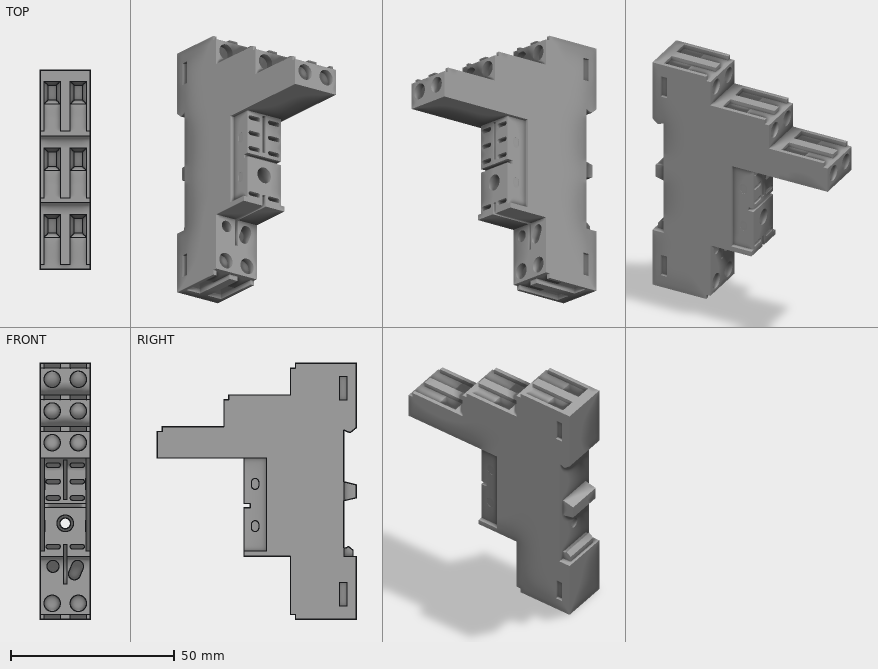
import cadquery as cq
import math


WIDTH = 15.5
HEIGHT = 78.5
DEPTH = 61.0
TIER_COUNT = 3
TIER_RUN = 20.4
TIERS_BOTTOM = 49.4
TIER_DROP = (HEIGHT - TIERS_BOTTOM) / TIER_COUNT
BASE_DEPTH = DEPTH - (TIER_COUNT - 1) * TIER_RUN
FOOT_HEIGHT = 19.3
RELAY_DEPTH = 34.5

RAIL_GAP_DEPTH = 3.85
HOOK_START_Z = 58.7
HOOK_TIP_Z = 57.3
HOOK_TIP_NEAR = 1.7
HOOK_TIP_FAR = 2.3
HOOK_ROOT_Z = 58.0
RAIL_PART_INSET = 1.9
RAIL_PART_WIDTH = WIDTH - 2 * RAIL_PART_INSET
LUG_Z = 39.25
LUG_ROOT = 5.9
LUG_TIP = 4.0
CLIP_BACK = 0.95
CLIP_SHOULDER_Z = 21.2
CLIP_TIP_DEPTH = 2.4
CLIP_TIP_Z = 22.4
CLIP_ROOT_DEPTH = 3.2
CLIP_ROOT_Z = 21.9

LIP = 1.5
TERMINAL_X = 4.0
TERMINAL_WIDTH = 5.0
CHANNEL_START = 3.4
FUNNEL_LENGTH = 7.0
FUNNEL_INSET = 1.25
FUNNEL_DEPTH = 2.1
WIRE_HOLE_DIAMETER = 5.0
WIRE_HOLE_DROP = 4.95
WIRE_HOLE_DEPTH = 2.5

SIDE_RECESS = 1.4
SIDE_RECESS_BACK = 27.5
SIDE_RECESS_BOTTOM = 20.95
GROOVE_Z = 34.85
GROOVE_WIDTH = 1.2
GROOVE_DEPTH = 2.0
CONTACT_X = 3.7
CONTACT_LENGTH = 4.4
CONTACT_WIDTH = 1.4
CONTACT_DEPTH = 3.9
CONTACT_PITCH = 5.0
CONTACT_ROWS = 3
CONTACT_TOP_Z = 47.25
CONTACT_LOW_Z = 22.3
SCREW_Z = 29.4
SCREW_DIAMETER = 3.2
SCREW_HEAD_DIAMETER = 5.1
SCREW_HEAD_DEPTH = 15.7
PARTITION_WIDTH = 1.2
PARTITION_LENGTH = 12.1
PARTITION_TOPS = (48.9, 22.9)
PARTITION_FLOOR = 18.85

WINDOW_DEPTH = 0.1
WINDOW_WIDTH = 2.3
WINDOW_LENGTH = 3.4
WINDOW_CENTRE_DEPTH = 31.0
WINDOW_HEIGHTS = (41.5, 28.6)
POCKET_DEPTH = 1.0
POCKET_WIDTH = 2.3
POCKET_LENGTH = 7.15
POCKET_CENTRE_DEPTH = 4.0
POCKET_END = 7.7

COIL_X = 3.8
COIL_Z = 16.25
COIL_DIAMETER = 3.7
COIL_SLOT_END_X = 2.8
COIL_SLOT_END_Z = 14.0
COIL_HOLE_DEPTH = 3.9


def box(x, depth_range, z_range, width):
    """Box centred on x, spanning a range of depths in front of the back face and of heights."""
    near, far = depth_range
    low, high = z_range
    return cq.Workplane("XY").box(width, far - near, high - low).translate(
        (x, -(near + far) / 2, (low + high) / 2)
    )


def side_profile(points, width):
    """Extrude an outline of (depth, z) points across X, centred."""
    outline = [(-depth, z) for depth, z in points]
    return cq.Workplane("YZ").polyline(outline).close().extrude(width / 2, both=True)


def front_plane(depth):
    """Sketch plane with X to the right, Z up and its normal facing -Y."""
    return cq.Workplane("XZ", origin=(0, -depth, 0))


def body():
    points = [(0, HEIGHT)]
    for tier in range(TIER_COUNT):
        front = BASE_DEPTH + tier * TIER_RUN
        top = HEIGHT - tier * TIER_DROP
        points += [(front - LIP, top), (front - LIP, top - LIP), (front, top - LIP)]
        points.append((front, top - TIER_DROP))
    points += [
        (RELAY_DEPTH, TIERS_BOTTOM),
        (RELAY_DEPTH, FOOT_HEIGHT),
        (BASE_DEPTH, FOOT_HEIGHT),
        (BASE_DEPTH, LIP),
        (BASE_DEPTH - LIP, LIP),
        (BASE_DEPTH - LIP, 0),
        (0, 0),
        (0, FOOT_HEIGHT),
        (RAIL_GAP_DEPTH, FOOT_HEIGHT),
        (RAIL_GAP_DEPTH, HOOK_ROOT_Z),
        (HOOK_TIP_FAR, HOOK_TIP_Z),
        (HOOK_TIP_NEAR, HOOK_TIP_Z),
        (0, HOOK_START_Z),
    ]
    return side_profile(points, WIDTH)


def rail_lug():
    return side_profile(
        [
            (RAIL_GAP_DEPTH, LUG_Z + LUG_ROOT / 2),
            (0, LUG_Z + LUG_TIP / 2),
            (0, LUG_Z - LUG_TIP / 2),
            (RAIL_GAP_DEPTH, LUG_Z - LUG_ROOT / 2),
        ],
        RAIL_PART_WIDTH,
    )


def rail_clip():
    return side_profile(
        [
            (RAIL_GAP_DEPTH, FOOT_HEIGHT),
            (CLIP_BACK, FOOT_HEIGHT),
            (CLIP_BACK, CLIP_SHOULDER_Z),
            (CLIP_TIP_DEPTH, CLIP_TIP_Z),
            (CLIP_ROOT_DEPTH, CLIP_ROOT_Z),
            (RAIL_GAP_DEPTH, CLIP_ROOT_Z),
        ],
        RAIL_PART_WIDTH,
    )


def terminal_cut(x, front, top):
    """Channel, screw funnel and wire hole of one terminal of a tier."""
    back = front - BASE_DEPTH + CHANNEL_START
    floor = top - LIP
    channel = box(x, (back, front), (floor, top), TERMINAL_WIDTH)
    funnel = (
        cq.Workplane("XY", origin=(x, -(back + FUNNEL_LENGTH / 2), floor))
        .rect(TERMINAL_WIDTH, FUNNEL_LENGTH)
        .workplane(offset=-FUNNEL_DEPTH)
        .rect(TERMINAL_WIDTH - 2 * FUNNEL_INSET, FUNNEL_LENGTH - 2 * FUNNEL_INSET)
        .loft(ruled=True)
    )
    wire_hole = (
        front_plane(front)
        .center(x, top - WIRE_HOLE_DROP)
        .circle(WIRE_HOLE_DIAMETER / 2)
        .extrude(-WIRE_HOLE_DEPTH)
    )
    return channel.union(funnel).union(wire_hole)


def cut_terminals(part):
    for x in (-TERMINAL_X, TERMINAL_X):
        for tier in range(TIER_COUNT):
            front = BASE_DEPTH + tier * TIER_RUN
            part = part.cut(terminal_cut(x, front, HEIGHT - tier * TIER_DROP))
        foot_terminal = terminal_cut(x, BASE_DEPTH, HEIGHT).mirror("XY", (0, 0, HEIGHT / 2))
        part = part.cut(foot_terminal)
    return part


def cut_relay_seat(part):
    for side in (-1, 1):
        part = part.cut(
            box(
                side * (WIDTH - SIDE_RECESS) / 2,
                (SIDE_RECESS_BACK, RELAY_DEPTH),
                (SIDE_RECESS_BOTTOM, TIERS_BOTTOM),
                SIDE_RECESS,
            )
        )
    groove_range = (GROOVE_Z - GROOVE_WIDTH / 2, GROOVE_Z + GROOVE_WIDTH / 2)
    part = part.cut(box(0, (RELAY_DEPTH - GROOVE_DEPTH, RELAY_DEPTH), groove_range, WIDTH))

    contact_rows = [CONTACT_TOP_Z - row * CONTACT_PITCH for row in range(CONTACT_ROWS)] + [CONTACT_LOW_Z]
    contacts = [(x, z) for x in (-CONTACT_X, CONTACT_X) for z in contact_rows]
    part = part.cut(
        front_plane(RELAY_DEPTH)
        .pushPoints(contacts)
        .slot2D(CONTACT_LENGTH, CONTACT_WIDTH)
        .extrude(-CONTACT_DEPTH)
    )
    for top in PARTITION_TOPS:
        slot_range = (top - PARTITION_LENGTH, top)
        part = part.cut(box(0, (PARTITION_FLOOR, RELAY_DEPTH), slot_range, PARTITION_WIDTH))
    return part


def cut_screw_hole(part):
    plane = front_plane(RELAY_DEPTH).center(0, SCREW_Z)
    part = part.cut(plane.circle(SCREW_DIAMETER / 2).extrude(-RELAY_DEPTH))
    return part.cut(plane.circle(SCREW_HEAD_DIAMETER / 2).extrude(-SCREW_HEAD_DEPTH))


def cut_side_details(part):
    seat_half_width = WIDTH / 2 - SIDE_RECESS
    pocket_heights = (POCKET_END, HEIGHT - POCKET_END)
    windows = (
        cq.Workplane("YZ", origin=(seat_half_width - WINDOW_DEPTH, 0, 0))
        .pushPoints([(-WINDOW_CENTRE_DEPTH, z) for z in WINDOW_HEIGHTS])
        .slot2D(WINDOW_LENGTH, WINDOW_WIDTH, 90)
        .extrude(WINDOW_DEPTH)
    )
    pockets = (
        cq.Workplane("YZ", origin=(WIDTH / 2 - POCKET_DEPTH, 0, 0))
        .pushPoints([(-POCKET_CENTRE_DEPTH, z) for z in pocket_heights])
        .rect(POCKET_WIDTH, POCKET_LENGTH)
        .extrude(POCKET_DEPTH)
    )
    for cutter in (windows, pockets):
        part = part.cut(cutter).cut(cutter.mirror("YZ"))
    return part


def cut_coil_holes(part):
    plane = front_plane(BASE_DEPTH)
    round_hole = plane.center(-COIL_X, COIL_Z).circle(COIL_DIAMETER / 2).extrude(-COIL_HOLE_DEPTH)
    run = COIL_X - COIL_SLOT_END_X
    rise = COIL_Z - COIL_SLOT_END_Z
    slanted_slot = (
        plane.center((COIL_X + COIL_SLOT_END_X) / 2, (COIL_Z + COIL_SLOT_END_Z) / 2)
        .slot2D(math.hypot(run, rise) + COIL_DIAMETER, COIL_DIAMETER, math.degrees(math.atan2(rise, run)))
        .extrude(-COIL_HOLE_DEPTH)
    )
    return part.cut(round_hole).cut(slanted_slot)


result = body().union(rail_lug()).union(rail_clip())
result = cut_terminals(result)
result = cut_relay_seat(result)
result = cut_screw_hole(result)
result = cut_side_details(result)
result = cut_coil_holes(result)